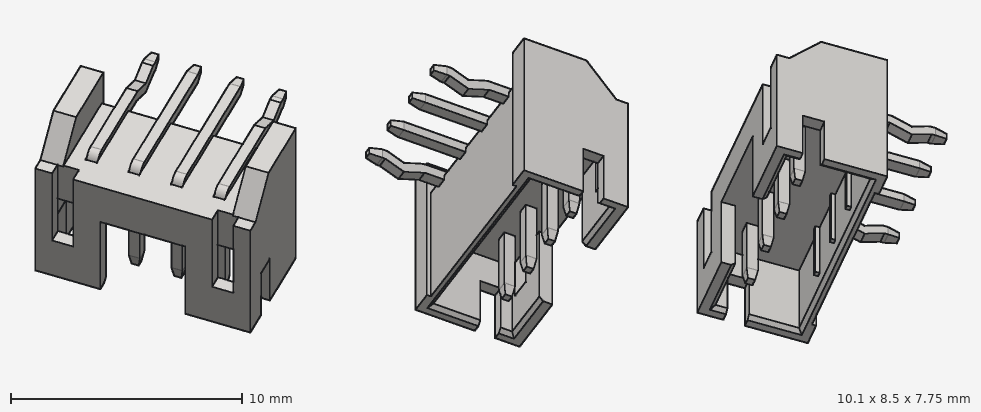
import cadquery as cq
import math


width = 10.1
depth = 5.09
body_height = 6.08
overall_height = 7.75
rear_recess = 0.19
front_wall = 0.65
rear_wall = 0.4
side_wall = 0.54

ear_width = 1.07
ear_front = 0.58
ear_top_front = 2.04

cavity_ceiling = 4.01
mouth_chamfer = 0.19
window_width = 3.98
slot_outer_edge = 0.8
slot_width = 0.99
slot_floor = 2.08
notch_width = 0.99
notch_height = 2.49

rib_width = 0.2
rib_bottom = 0.98
rib_protrusion = 0.2

pin_count = 4
pin_pitch = 2.0
pin_width = 0.53
arm_thickness = 0.49
arm_top = 6.34
pin_front = 1.43
pin_rear_end = 8.5
pin_bottom_end = 0.49
tip_length = 0.57
tip_size = 0.33
bend_clearance = 0.07

kink_front = 5.94
kink_middle = 6.87
kink_rear = 7.68
kink_drop = 0.34

body_rear = depth - rear_recess
cavity_rear = body_rear - rear_wall
cavity_width = width - 2 * side_wall
cavity_depth = cavity_rear - front_wall
arm_bottom = arm_top - arm_thickness
pin_axis = pin_front + pin_width / 2
arm_axis = arm_top - arm_thickness / 2
arm_end = pin_rear_end - tip_length
leg_end = pin_bottom_end + tip_length


def block(x_size, y_start, y_end, z_start, z_end, x_center=0.0):
    """Box centred on x_center in X and spanning the given Y and Z ranges."""
    size_y = y_end - y_start
    size_z = z_end - z_start
    box = cq.Workplane("XY").box(x_size, size_y, size_z, centered=(True, False, False))
    return box.translate((x_center, y_start, z_start))


def side_profile(points, thickness, x_center):
    """Extrude a (Y, Z) outline along X, symmetric about x_center."""
    outline = cq.Workplane("YZ").polyline(points).close()
    return outline.extrude(thickness / 2, both=True).translate((x_center, 0, 0))


def make_cavity():
    """Cavity with a chamfered lead-in around its open bottom."""
    cavity = block(cavity_width, front_wall, cavity_rear, 0, cavity_ceiling)
    lead_in = (
        cq.Workplane("XY")
        .center(0, (front_wall + cavity_rear) / 2)
        .rect(cavity_width + 2 * mouth_chamfer, cavity_depth + 2 * mouth_chamfer)
        .workplane(offset=mouth_chamfer)
        .rect(cavity_width, cavity_depth)
        .loft(ruled=True)
    )
    return cavity.union(lead_in)


def make_housing():
    ear_x = (width - ear_width) / 2
    slot_x = width / 2 - slot_outer_edge - slot_width / 2
    notch_front = pin_axis - notch_width / 2
    ear_outline = [
        (ear_front, body_height),
        (ear_top_front, overall_height),
        (depth, overall_height),
        (depth, body_height),
    ]

    housing = block(width, 0, depth, 0, body_height)
    housing = housing.cut(block(width - 2 * ear_width, body_rear, depth, 0, body_height))
    housing = housing.cut(make_cavity())
    housing = housing.cut(block(window_width, 0, front_wall, 0, cavity_ceiling))
    housing = housing.cut(block(width, notch_front, notch_front + notch_width, 0, notch_height))
    for side in (-1, 1):
        housing = housing.cut(block(slot_width, 0, front_wall, slot_floor, body_height, side * slot_x))
        housing = housing.union(side_profile(ear_outline, ear_width, side * ear_x))
    for position in (-1, 0, 1):
        rib = block(rib_width, cavity_rear - rib_protrusion, cavity_rear, rib_bottom, cavity_ceiling,
                    position * pin_pitch)
        housing = housing.union(rib)
    return housing


def make_pin(x_center, kinked):
    """Pin with a vertical leg, a rounded bend and a rearward arm, tapered at both ends."""
    bend_end = pin_front + pin_width
    bend_start = arm_top - pin_width
    bend_middle = (
        bend_end - pin_width * math.cos(math.pi / 4),
        bend_start + pin_width * math.sin(math.pi / 4),
    )
    outline = (
        cq.Workplane("YZ")
        .moveTo(bend_end, leg_end)
        .lineTo(pin_front, leg_end)
        .lineTo(pin_front, bend_start)
        .threePointArc(bend_middle, (bend_end, arm_top))
    )
    if kinked:
        front_angle = math.atan2(kink_drop, kink_middle - kink_front)
        rear_angle = math.atan2(kink_drop, kink_rear - kink_middle)
        under_front = kink_front - arm_thickness * math.tan(front_angle / 2)
        under_rear = kink_rear + arm_thickness * math.tan(rear_angle / 2)
        under_drop = kink_drop + arm_thickness / math.cos((front_angle + rear_angle) / 2) - arm_thickness
        outline = (
            outline.lineTo(kink_front, arm_top)
            .lineTo(kink_middle, arm_top - kink_drop)
            .lineTo(kink_rear, arm_top)
            .lineTo(arm_end, arm_top)
            .lineTo(arm_end, arm_bottom)
            .lineTo(under_rear, arm_bottom)
            .lineTo(kink_middle, arm_bottom - under_drop)
            .lineTo(under_front, arm_bottom)
        )
    else:
        outline = outline.lineTo(arm_end, arm_top).lineTo(arm_end, arm_bottom)
    strip = outline.lineTo(bend_end, arm_bottom).close().extrude(pin_width / 2, both=True)

    leg_tip = (
        cq.Workplane("XY", origin=(0, pin_axis, pin_bottom_end))
        .rect(tip_size, tip_size)
        .workplane(offset=tip_length)
        .rect(pin_width, pin_width)
        .loft(ruled=True)
    )
    arm_tip = (
        cq.Workplane("XZ", origin=(0, pin_rear_end, arm_axis))
        .rect(tip_size, tip_size)
        .workplane(offset=tip_length)
        .rect(pin_width, arm_thickness)
        .loft(ruled=True)
    )
    return strip.union(leg_tip).union(arm_tip).translate((x_center, 0, 0))


result = make_housing()
for index in range(pin_count):
    pin_x = (index - (pin_count - 1) / 2) * pin_pitch
    is_outermost = index in (0, pin_count - 1)
    bend_channel = block(pin_width, pin_front - bend_clearance, pin_axis,
                         arm_top - pin_width, body_height, pin_x)
    result = result.cut(bend_channel).union(make_pin(pin_x, is_outermost))